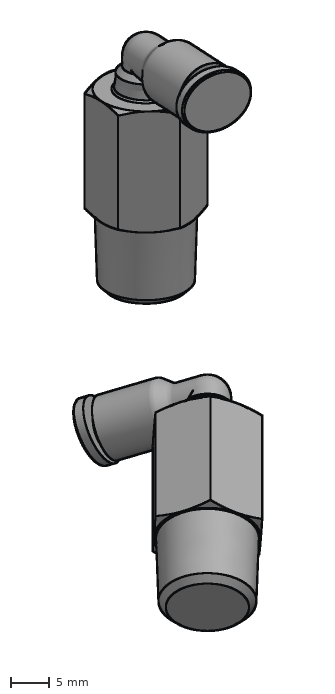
import cadquery as cq
import math


thread_length = 11.0
thread_tip_radius = 6.43
thread_tip_chamfer = 1.0
thread_taper = 1 / 32

hex_across_flats = 14.0
hex_height = 17.5
hex_chamfer_angle = 25.0

neck_foot_radius = 4.5
neck_taper_radius = 4.2
neck_collar_radius = 4.0
neck_foot_height = 0.3
neck_taper_height = 1.17
neck_collar_height = 1.02
neck_shoulder_height = 0.87

total_height = 37.8
elbow_radius = 3.15
socket_radius = 4.5
flare_start = 4.0
flare_end = 5.95
flare_blend_radius = 1.0
socket_end = 14.65

button_stem_radius = 2.72
flange_start = 15.5
flange_end = 17.1
flange_half_width = 5.4
flange_half_height = 4.3
flange_chamfer = 0.23

hex_top = thread_length + hex_height
hex_corner_radius = hex_across_flats / math.sqrt(3)
arm_height = total_height - socket_radius


def make_stud():
    """Tapered thread body with a chamfered lower tip."""
    root_radius = thread_tip_radius + (thread_length - thread_tip_chamfer) * thread_taper
    return (
        cq.Workplane("XZ")
        .lineTo(thread_tip_radius - thread_tip_chamfer, 0)
        .lineTo(thread_tip_radius, thread_tip_chamfer)
        .lineTo(root_radius, thread_length)
        .lineTo(0, thread_length)
        .close()
        .revolve(360, (0, 0), (0, 1))
    )


def make_hexagon():
    """Hexagon with corners on the X axis, its corners bevelled by cones at both ends."""
    flat_radius = hex_across_flats / 2
    bevel_drop = (hex_corner_radius - flat_radius) * math.tan(math.radians(hex_chamfer_angle))
    prism = (
        cq.Workplane("XY")
        .workplane(offset=thread_length)
        .polygon(6, 2 * hex_corner_radius)
        .extrude(hex_height)
    )
    envelope = (
        cq.Workplane("XZ")
        .moveTo(0, thread_length)
        .lineTo(flat_radius, thread_length)
        .lineTo(hex_corner_radius, thread_length + bevel_drop)
        .lineTo(hex_corner_radius, hex_top - bevel_drop)
        .lineTo(flat_radius, hex_top)
        .lineTo(0, hex_top)
        .close()
        .revolve(360, (0, 0), (0, 1))
    )
    return prism.intersect(envelope)


def make_neck():
    """Stepped neck from the hexagon up to the elbow centre."""
    taper_start = hex_top + neck_foot_height
    collar_start = taper_start + neck_taper_height
    shoulder_start = collar_start + neck_collar_height
    shoulder_end = shoulder_start + neck_shoulder_height
    return (
        cq.Workplane("XZ")
        .moveTo(0, hex_top)
        .lineTo(neck_foot_radius, hex_top)
        .lineTo(neck_taper_radius, taper_start)
        .lineTo(neck_collar_radius, collar_start)
        .lineTo(neck_collar_radius, shoulder_start)
        .lineTo(elbow_radius, shoulder_end)
        .lineTo(elbow_radius, arm_height)
        .lineTo(0, arm_height)
        .close()
        .revolve(360, (0, 0), (0, 1))
    )


def make_arm():
    """Elbow ball, arm flaring out to the socket, and the stem of the release button."""
    ball = cq.Workplane("XY").sphere(elbow_radius).translate((0, 0, arm_height))
    body = (
        cq.Workplane("XZ", origin=(0, 0, arm_height))
        .lineTo(0, elbow_radius)
        .lineTo(flare_start, elbow_radius)
        .lineTo(flare_end, socket_radius)
        .lineTo(socket_end, socket_radius)
        .lineTo(socket_end, 0)
        .close()
        .revolve(360, (0, 0), (1, 0))
    )
    flare_edges = cq.selectors.BoxSelector(
        (flare_start / 2, -socket_radius, arm_height - socket_radius),
        (flare_end + flare_blend_radius, socket_radius, total_height),
    )
    body = body.edges("%CIRCLE").edges(flare_edges).fillet(flare_blend_radius)
    stem = (
        cq.Workplane("YZ", origin=(socket_end, 0, arm_height))
        .circle(button_stem_radius)
        .extrude(flange_start - socket_end)
    )
    return body.union(ball).union(stem)


def make_flange():
    """Oval flange of the release button with a chamfered outer rim."""
    return (
        cq.Workplane("YZ", origin=(flange_start, 0, arm_height))
        .ellipse(flange_half_width, flange_half_height)
        .extrude(flange_end - flange_start)
        .faces(">X")
        .edges()
        .chamfer(flange_chamfer)
    )


result = make_stud().union(make_hexagon()).union(make_neck()).union(make_arm()).union(make_flange())